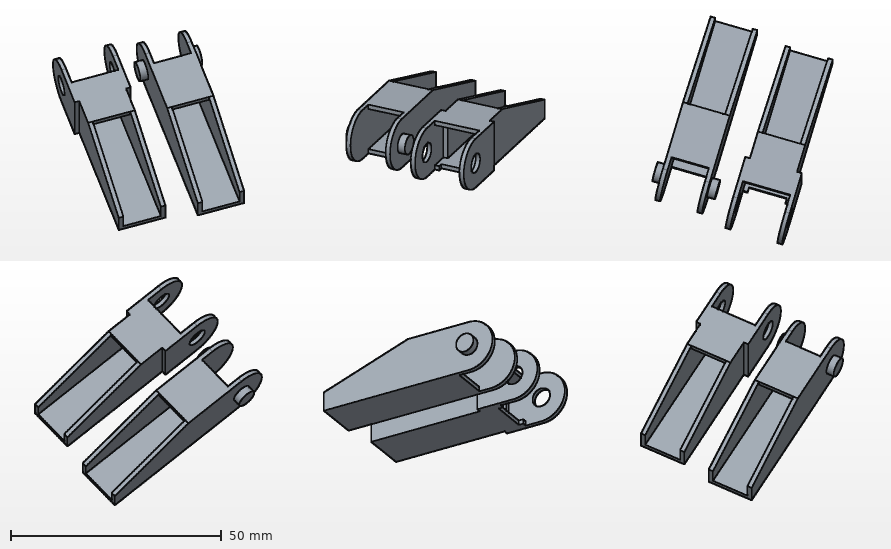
import cadquery as cq

link_height = 13.0
link_length = 46.55
wall = 1.15
ear_radius = link_height / 2
slope_start = 23.3
tip_height = 5.0
pivot_diameter = 4.8

male_width = 11.6
male_roof_start = 9.75
peg_length = 1.95

female_body_width = 11.7
female_width = female_body_width + 2 * wall
female_roof_start = 10.78
ear_length = 16.55
ear_overlap = wall
floor_notch_depth = 1.2

overall_length = 48.3
male_offset_x = overall_length - link_length
link_gap = 4.4
male_center_y = female_width / 2 + link_gap + peg_length + male_width / 2


def plate(profile, outer_y):
    """Extrude an XZ profile by one wall thickness from outer_y toward +Y."""
    return profile.extrude(-wall).translate((0, outer_y, 0))


def tapered_wall(start_x, outer_y):
    """Side wall with a square front edge and a sloping rear top edge."""
    profile = (
        cq.Workplane("XZ")
        .moveTo(start_x, 0)
        .lineTo(link_length, 0)
        .lineTo(link_length, tip_height)
        .lineTo(slope_start, link_height)
        .lineTo(start_x, link_height)
        .close()
    )
    return plate(profile, outer_y)


def rounded_ear(end_x, outer_y):
    """Ear with a half-round front end, centred on the pivot axis."""
    profile = (
        cq.Workplane("XZ")
        .moveTo(ear_radius, 0)
        .lineTo(end_x, 0)
        .lineTo(end_x, link_height)
        .lineTo(ear_radius, link_height)
        .threePointArc((0, ear_radius), (ear_radius, 0))
        .close()
    )
    return plate(profile, outer_y)


def cross_plate(start_x, end_x, width, bottom_z):
    """Horizontal plate joining the two sides."""
    return (
        cq.Workplane("XY")
        .box(end_x - start_x, width, wall, centered=(False, True, False))
        .translate((start_x, 0, bottom_z))
    )


def floor_and_roof(start_x, width):
    """Full-length floor and a roof that ends where the walls begin to slope."""
    floor = cross_plate(start_x, link_length, width, 0)
    roof = cross_plate(start_x, slope_start, width, link_height - wall)
    return floor.union(roof)


def pivot_cylinder(start_y, length):
    """Cylinder on the pivot axis, running from start_y toward +Y."""
    return (
        cq.Workplane("XZ")
        .center(ear_radius, ear_radius)
        .circle(pivot_diameter / 2)
        .extrude(-length)
        .translate((0, start_y, 0))
    )


def floor_notch():
    """Notch in the front edge of the female floor, as wide as the space between its body walls."""
    notch_end = female_roof_start + floor_notch_depth
    return cross_plate(female_roof_start, notch_end, female_body_width - 2 * wall, 0)


def make_male_link():
    link = floor_and_roof(male_roof_start, male_width)
    for outer_y in (-male_width / 2, male_width / 2 - wall):
        link = link.union(rounded_ear(slope_start, outer_y))
        link = link.union(tapered_wall(male_roof_start, outer_y))
    for peg_y in (-male_width / 2 - peg_length, male_width / 2):
        link = link.union(pivot_cylinder(peg_y, peg_length))
    return link.clean()


def make_female_link():
    link = floor_and_roof(female_roof_start, female_body_width)
    for ear_y in (-female_width / 2, female_width / 2 - wall):
        link = link.union(rounded_ear(ear_length, ear_y))
    for wall_y in (-female_body_width / 2, female_body_width / 2 - wall):
        link = link.union(tapered_wall(ear_length - ear_overlap, wall_y))
    link = link.cut(floor_notch())
    link = link.cut(pivot_cylinder(-female_width / 2, female_width))
    return link.clean()


male_link = make_male_link().translate((male_offset_x, male_center_y, 0))
female_link = make_female_link()

result = cq.Compound.makeCompound([male_link.val(), female_link.val()])